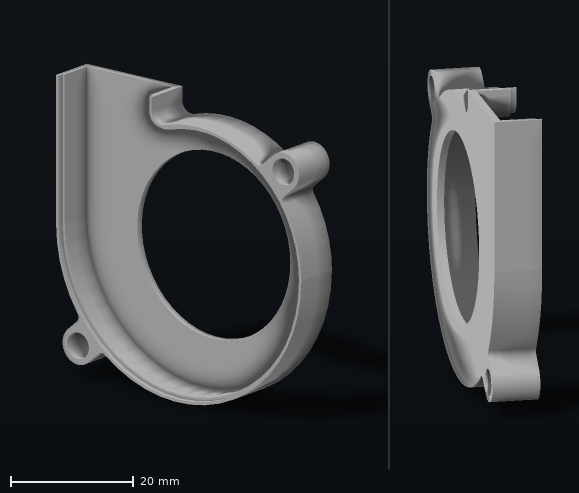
import cadquery as cq
import math

depth = 8.0
floor_thickness = 1.2
wall = 1.0
rim_step_depth = 1.0
rim_step_width = wall / 2
intake_radius = 16.0

lower_radius = 25.65
upper_radius = 22.15
lower_center_x = -1.9
upper_center_x = lower_center_x + lower_radius - upper_radius

outlet_left_x = lower_center_x - lower_radius
outlet_width = 20.0
outlet_right_x = outlet_left_x + outlet_width
outlet_top_z = 25.42
throat_radius = 2.0

upper_ear = (20.0, 17.95)
lower_ear = (-22.95, -19.95)
ear_centers = [upper_ear, lower_ear]
ear_hole_radius = 2.25
ear_radius = ear_hole_radius + wall
upper_ear_angle = math.degrees(math.atan2(upper_ear[1] - lower_ear[1], upper_ear[0] - lower_ear[0]))
ear_angles = [upper_ear_angle, upper_ear_angle + 180]
ear_arm_length = 8.0
ear_root_fillet = 1.0

overcut = 1.0


def front_plane(height):
    """XZ workplane at a height above the floor's outer face, with its normal along -Y."""
    return cq.Workplane("XZ").workplane(offset=height)


def volute(inset, base, top, duct_end_z):
    """Prism of the volute outline moved inwards by inset, from height base to top."""
    big = lower_radius - inset
    small = upper_radius - inset
    throat = throat_radius + inset
    left = outlet_left_x + inset
    right = outlet_right_x - inset

    throat_x = right + throat
    center_distance = small + throat
    throat_z = math.sqrt(center_distance**2 - (upper_center_x - throat_x) ** 2)
    throat_angle = math.atan2(throat_z, throat_x - upper_center_x)
    throat_end = (
        upper_center_x + small * math.cos(throat_angle),
        small * math.sin(throat_angle),
    )
    throat_mid_angle = math.pi + throat_angle / 2
    throat_mid = (
        throat_x + throat * math.cos(throat_mid_angle),
        throat_z + throat * math.sin(throat_mid_angle),
    )
    upper_mid = (
        upper_center_x + small * math.cos(throat_angle / 2),
        small * math.sin(throat_angle / 2),
    )

    return (
        front_plane(base)
        .moveTo(left, duct_end_z)
        .lineTo(left, 0)
        .threePointArc((lower_center_x, -big), (lower_center_x + big, 0))
        .threePointArc(upper_mid, throat_end)
        .threePointArc(throat_mid, (right, throat_z))
        .lineTo(right, duct_end_z)
        .close()
        .extrude(top - base)
    )


def ear_body(center, angle):
    """Round boss with a straight arm reaching back to the volute wall."""
    x, z = center
    boss = front_plane(0).center(x, z).circle(ear_radius).extrude(depth)
    arm = (
        front_plane(0)
        .center(x, z)
        .transformed(rotate=(0, 0, angle))
        .center(-ear_arm_length / 2, 0)
        .rect(ear_arm_length, 2 * ear_radius)
        .extrude(depth)
    )
    return boss.union(arm)


def ear_root_selector(center, angle):
    """Box around the two edges where an ear's arm meets the volute wall."""
    x, z = center
    direction = math.radians(angle)
    root_distance = ear_arm_length / 2
    root_x = x - root_distance * math.cos(direction)
    root_z = z - root_distance * math.sin(direction)
    reach = ear_radius + wall
    return cq.selectors.BoxSelector(
        (root_x - reach, -depth, root_z - reach),
        (root_x + reach, 0, root_z + reach),
    )


result = volute(0, 0, depth, outlet_top_z)
ears = list(zip(ear_centers, ear_angles))
for ear_center, angle in ears:
    result = result.union(ear_body(ear_center, angle))

for ear_center, angle in ears:
    roots = result.edges("|Y").edges(ear_root_selector(ear_center, angle))
    result = result.newObject(roots.vals()).fillet(ear_root_fillet)

open_end_z = outlet_top_z + overcut
open_rim = depth + overcut
result = result.cut(volute(wall, floor_thickness, open_rim, open_end_z))
result = result.cut(volute(rim_step_width, depth - rim_step_depth, open_rim, open_end_z))

result = result.cut(front_plane(0).circle(intake_radius).extrude(depth))
ear_holes = front_plane(0).pushPoints(ear_centers).circle(ear_hole_radius).extrude(depth)
result = result.cut(ear_holes)